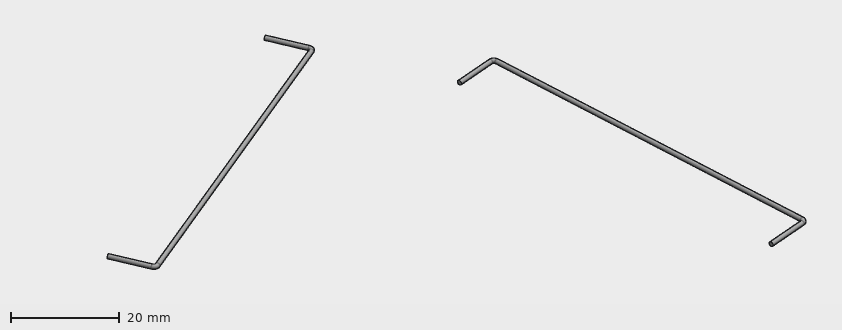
import cadquery as cq

length = 77.0
reach = 10.0
wire_diameter = 1.0
bend_radius = 0.8

wire_radius = wire_diameter / 2

bar_x = reach / 2 - wire_radius
leg_end_x = -reach / 2
leg_y = length / 2 - wire_radius

bend_x = bar_x - bend_radius
bend_y = leg_y - bend_radius

centreline = (
    cq.Workplane("XY")
    .moveTo(leg_end_x, -leg_y)
    .lineTo(bend_x, -leg_y)
    .tangentArcPoint((bar_x, -bend_y), relative=False)
    .lineTo(bar_x, bend_y)
    .tangentArcPoint((bend_x, leg_y), relative=False)
    .lineTo(leg_end_x, leg_y)
)

result = (
    cq.Workplane("YZ", origin=(leg_end_x, -leg_y, 0))
    .circle(wire_radius)
    .sweep(centreline)
)